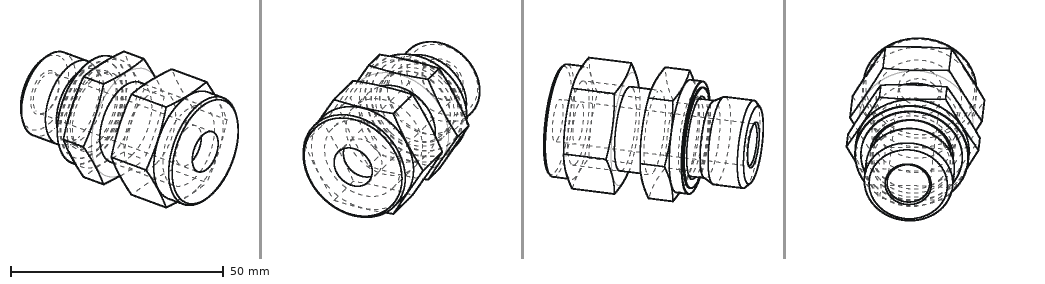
import cadquery as cq
import math

total_length = 47.7
across_flats = 27.0
flat_radius = across_flats / 2
corner_radius = flat_radius / math.cos(math.pi / 6)

bore_radius = 5.0
bore_entry_chamfer = 0.45

thread_radius = 10.45
thread_entry_chamfer = 1.2
thread_end = 8.3
undercut_start = 10.6
undercut_radius = 9.2

seal_start = 13.7
seal_radius = 11.95
collar_start = 13.98
collar_radius = 13.4
collar_edge_chamfer = 0.1

groove_radius = 9.85
groove_flare_start = 14.6
undercut_slope = (thread_radius - undercut_radius) / (undercut_start - thread_end)
groove_end = groove_flare_start + (groove_radius - undercut_radius) / undercut_slope

body_hex_start = 17.0
body_hex_end = 24.1
shank_radius = 10.0

nut_start = 31.2
nut_hex_end = 42.7
nut_rim_radius = 13.4
nut_end_chamfer = 0.55
shank_end = nut_hex_end

hex_chamfer_angle = 15.0
hex_face_radius = 13.4


def cylinder(radius, start, end):
    """Solid cylinder along X."""
    return cq.Workplane("YZ").workplane(offset=start).circle(radius).extrude(end - start)


def revolve_profile(points):
    """Solid of revolution about X from (x, radius) points."""
    return cq.Workplane("XY").polyline(points).close().revolve(360, (0, 0, 0), (1, 0, 0))


def chamfered_hexagon(start, end):
    """Hexagonal prism along X, corners on Y, trimmed by a cone at each end."""
    prism = cq.Workplane("YZ").workplane(offset=start).polygon(6, 2 * corner_radius).extrude(end - start)
    cone_length = (corner_radius - hex_face_radius) * math.tan(math.radians(hex_chamfer_angle))
    turned_envelope = revolve_profile([
        (start, 0),
        (start, hex_face_radius),
        (start + cone_length, corner_radius),
        (end - cone_length, corner_radius),
        (end, hex_face_radius),
        (end, 0),
    ])
    return prism.intersect(turned_envelope)


def make_fitting_body():
    """Threaded spigot, collar, hexagon and shank, with a bore right through."""
    spigot_and_collar = revolve_profile([
        (0, 0),
        (0, thread_radius - thread_entry_chamfer),
        (thread_entry_chamfer, thread_radius),
        (thread_end, thread_radius),
        (undercut_start, undercut_radius),
        (groove_flare_start, undercut_radius),
        (groove_end, groove_radius),
        (seal_start, groove_radius),
        (seal_start, seal_radius),
        (collar_start, seal_radius),
        (collar_start, collar_radius - collar_edge_chamfer),
        (collar_start + collar_edge_chamfer, collar_radius),
        (body_hex_start, collar_radius),
        (body_hex_start, 0),
    ])
    hexagon = chamfered_hexagon(body_hex_start, body_hex_end)
    shank = cylinder(shank_radius, body_hex_end, shank_end)
    bore = cylinder(bore_radius, 0, shank_end)
    bore_entry = revolve_profile([
        (0, 0),
        (0, bore_radius + bore_entry_chamfer),
        (bore_entry_chamfer, bore_radius),
        (bore_entry_chamfer, 0),
    ])
    return spigot_and_collar.union(hexagon).union(shank).cut(bore).cut(bore_entry)


def make_union_nut():
    """Hexagon nut with a round rim, a recess for the shank and the bore carried on."""
    hexagon = chamfered_hexagon(nut_start, nut_hex_end)
    rim = cylinder(nut_rim_radius, nut_hex_end, total_length).faces(">X").chamfer(nut_end_chamfer)
    shank_recess = cylinder(shank_radius, nut_start, shank_end)
    bore = cylinder(bore_radius, shank_end, total_length)
    return hexagon.union(rim).cut(shank_recess).cut(bore)


fitting_body = make_fitting_body()
union_nut = make_union_nut()

result = cq.Compound.makeCompound([fitting_body.val(), union_nut.val()])